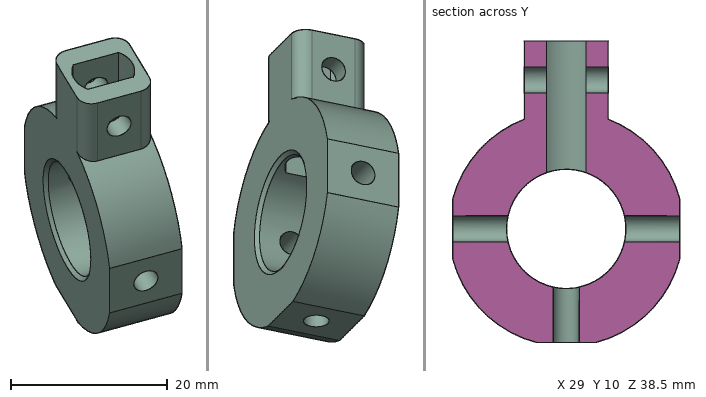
import cadquery as cq

THICKNESS = 10.0
RING_DIAMETER = 30.0
FLAT_DISTANCE = 14.5
BORE_DIAMETER = 15.2
BORE_CHAMFER = 0.5

STEM_WIDTH = 10.75
STEM_TOP = 24.0
STEM_CORNER_RADIUS = 2.0

SOCKET_DIAMETER = 8.0
SOCKET_ACROSS_FLATS = 5.0

SCREW_DIAMETER = 3.3
STEM_SCREW_DEPTH = 5.0


def make_ring():
    """Disc with flats on its left, right and bottom sides."""
    disc = cq.Workplane("XZ").circle(RING_DIAMETER / 2).extrude(THICKNESS / 2, both=True)
    ring_top = RING_DIAMETER / 2
    envelope = cq.Workplane("XY").workplane(offset=-FLAT_DISTANCE)
    envelope = envelope.rect(2 * FLAT_DISTANCE, THICKNESS).extrude(FLAT_DISTANCE + ring_top)
    return disc.intersect(envelope)


def make_stem():
    """Post with rounded vertical edges, rising from the ring centre height."""
    post = cq.Workplane("XY").rect(STEM_WIDTH, THICKNESS).extrude(STEM_TOP)
    return post.edges("|Z").fillet(STEM_CORNER_RADIUS)


def make_bore():
    """Bore cutter with a chamfer flare at both ends."""
    half = THICKNESS / 2
    radius = BORE_DIAMETER / 2
    profile = (
        cq.Workplane("XY")
        .moveTo(0, -half)
        .lineTo(radius + BORE_CHAMFER, -half)
        .lineTo(radius, -half + BORE_CHAMFER)
        .lineTo(radius, half - BORE_CHAMFER)
        .lineTo(radius + BORE_CHAMFER, half)
        .lineTo(0, half)
        .close()
    )
    return profile.revolve(360, (0, 0, 0), (0, 1, 0))


def make_socket():
    """Double-D cutter from the bore centre up through the stem top."""
    shaft = cq.Workplane("XY").circle(SOCKET_DIAMETER / 2).extrude(STEM_TOP)
    slab = cq.Workplane("XY").rect(SOCKET_ACROSS_FLATS, SOCKET_DIAMETER).extrude(STEM_TOP)
    return shaft.intersect(slab)


def make_cross_hole(height):
    """Screw hole cutter along X, through the whole part at the given height."""
    hole = cq.Workplane("YZ").center(0, height).circle(SCREW_DIAMETER / 2)
    return hole.extrude(FLAT_DISTANCE, both=True)


def make_bottom_hole():
    """Screw hole cutter from the bore centre down through the bottom flat."""
    return cq.Workplane("XY").circle(SCREW_DIAMETER / 2).extrude(-FLAT_DISTANCE)


result = make_ring().union(make_stem())
result = result.cut(make_bore()).cut(make_socket()).cut(make_bottom_hole())
for hole_height in (0, STEM_TOP - STEM_SCREW_DEPTH):
    result = result.cut(make_cross_hole(hole_height))